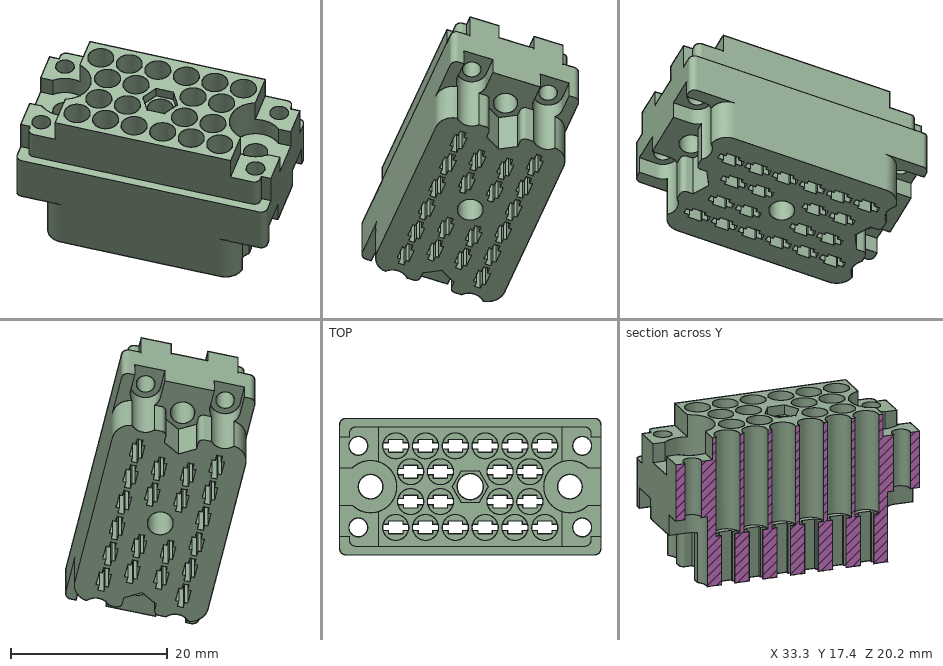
import cadquery as cq
import math

LENGTH = 33.32
WIDTH = 17.43
HEIGHT = 20.25
FLANGE_BOTTOM = 6.75
FLANGE_TOP = 13.23
SHOULDER_TOP = 17.25
FLANGE_CORNER_RADIUS = 0.83

BASE_LENGTH = 25.92
BASE_CORNER_RADIUS = 2.33

UPPER_WIDTH = 15.2
BLOCK_LENGTH = 23.35
SHOULDER_LENGTH = 30.8
SHOULDER_CORNER_RADIUS = 0.8
END_TAB_WIDTH = 12.65

PITCH = 3.8
OUTER_ROW_Y = 5.2
INNER_ROW_Y = PITCH / 2
OUTER_ROW_X = [PITCH * (i - 2.5) for i in range(6)]
INNER_ROW_X = [PITCH * i for i in (-2, -1, 1, 2)]
BORE_DIAMETER = 3.3
BORE_FLOOR = FLANGE_BOTTOM
KEY_LENGTH = 1.8
KEY_WIDTH = 1.6
KEY_SLIT_WIDTH = 0.75

CENTER_HEX_FLATS = 4.0
CENTER_HEX_DEPTH = 1.33
CENTER_HOLE_DIAMETER = 3.3

MOUNT_X = 12.7
MOUNT_HOLE_DIAMETER = 3.1
COUNTERBORE_DIAMETER = 6.65
COUNTERBORE_FLOOR = 14.7
END_SLOT_WIDTH = 4.75
NUT_FLATS = 4.23
NUT_MOUTH_RADIUS = 0.65

CORNER_X = 14.25
CORNER_HOLE_DIAMETER = 2.35
CORNER_SLOT_WIDTH = 3.93
CORNER_SLOT_TOP = 9.53

SIDES = (-1, 1)


def slab(length, width, bottom, top, x=0.0, y=0.0):
    """Rectangular block centred on (x, y) between two heights."""
    return cq.Workplane("XY", origin=(x, y, bottom)).rect(length, width).extrude(top - bottom)


def cylinders(points, diameter, bottom, top):
    """Upright cylinders at the given (x, y) points between two heights."""
    centers = cq.Workplane("XY", origin=(0, 0, bottom)).pushPoints(points)
    return centers.circle(diameter / 2).extrude(top - bottom)


def hexagon(x, flats, bottom, top):
    """Hexagonal prism on the X axis with two corners pointing along X."""
    corner_diameter = flats / math.cos(math.pi / 6)
    return cq.Workplane("XY", origin=(x, 0, bottom)).polygon(6, corner_diameter).extrude(top - bottom)


def open_slot(side, x, y, width, bottom, top):
    """Straight cutter running from x out through the end face on the given side."""
    run = LENGTH / 2 - x
    return slab(run, width, bottom, top, side * (x + run / 2), y)


def nut_mouth_edges(end, lip):
    """Selector for the upright edge where a nut pocket meets the end face of the base."""
    margin = 0.33
    x = end * BASE_LENGTH / 2
    y = lip * NUT_FLATS / 2
    low = (x - margin, y - margin, -margin)
    high = (x + margin, y + margin, FLANGE_BOTTOM + margin)
    return cq.selectors.BoxSelector(low, high)


def base():
    """Lower body with a hexagonal nut pocket, rounded at its mouth, open at each end."""
    body = slab(BASE_LENGTH, WIDTH, 0, FLANGE_BOTTOM).edges("|Z").fillet(BASE_CORNER_RADIUS)
    for end in SIDES:
        body = body.cut(hexagon(end * MOUNT_X, NUT_FLATS, 0, FLANGE_BOTTOM))
        for lip in SIDES:
            body = body.edges("|Z").edges(nut_mouth_edges(end, lip)).fillet(NUT_MOUTH_RADIUS)
    return body


def outer_body():
    flange = slab(LENGTH, WIDTH, FLANGE_BOTTOM, FLANGE_TOP).edges("|Z").fillet(FLANGE_CORNER_RADIUS)
    shoulder = slab(SHOULDER_LENGTH, UPPER_WIDTH, FLANGE_TOP, SHOULDER_TOP)
    shoulder = shoulder.edges("|Z").fillet(SHOULDER_CORNER_RADIUS)
    end_tabs = slab(LENGTH, END_TAB_WIDTH, FLANGE_TOP, SHOULDER_TOP)
    block = slab(BLOCK_LENGTH, UPPER_WIDTH, SHOULDER_TOP, HEIGHT)
    return base().union(flange).union(shoulder).union(end_tabs).union(block)


def cut_contact_cavities(body):
    points = [(x, side * OUTER_ROW_Y) for side in SIDES for x in OUTER_ROW_X]
    points += [(x, side * INNER_ROW_Y) for side in SIDES for x in INNER_ROW_X]
    bores = cylinders(points, BORE_DIAMETER, BORE_FLOOR, HEIGHT)
    openings = cq.Workplane("XY").pushPoints(points)
    keys = openings.rect(KEY_LENGTH, KEY_WIDTH).extrude(BORE_FLOOR)
    slits = openings.rect(BORE_DIAMETER, KEY_SLIT_WIDTH).extrude(BORE_FLOOR)
    return body.cut(bores).cut(keys).cut(slits)


def cut_center_fastener(body):
    recess = hexagon(0, CENTER_HEX_FLATS, HEIGHT - CENTER_HEX_DEPTH, HEIGHT)
    hole = cylinders([(0, 0)], CENTER_HOLE_DIAMETER, 0, HEIGHT)
    return body.cut(recess).cut(hole)


def cut_mounting_screws(body):
    points = [(side * MOUNT_X, 0) for side in SIDES]
    body = body.cut(cylinders(points, MOUNT_HOLE_DIAMETER, 0, HEIGHT))
    body = body.cut(cylinders(points, COUNTERBORE_DIAMETER, COUNTERBORE_FLOOR, HEIGHT))
    for side in SIDES:
        body = body.cut(open_slot(side, MOUNT_X, 0, END_SLOT_WIDTH, COUNTERBORE_FLOOR, HEIGHT))
    return body


def cut_corner_holes(body):
    points = [(end * CORNER_X, side * OUTER_ROW_Y) for end in SIDES for side in SIDES]
    body = body.cut(cylinders(points, CORNER_HOLE_DIAMETER, 0, HEIGHT))
    body = body.cut(cylinders(points, CORNER_SLOT_WIDTH, 0, CORNER_SLOT_TOP))
    for end in SIDES:
        for side in SIDES:
            slot = open_slot(end, CORNER_X, side * OUTER_ROW_Y, CORNER_SLOT_WIDTH, 0, CORNER_SLOT_TOP)
            body = body.cut(slot)
    return body


result = outer_body()
result = cut_contact_cavities(result)
result = cut_center_fastener(result)
result = cut_mounting_screws(result)
result = cut_corner_holes(result)